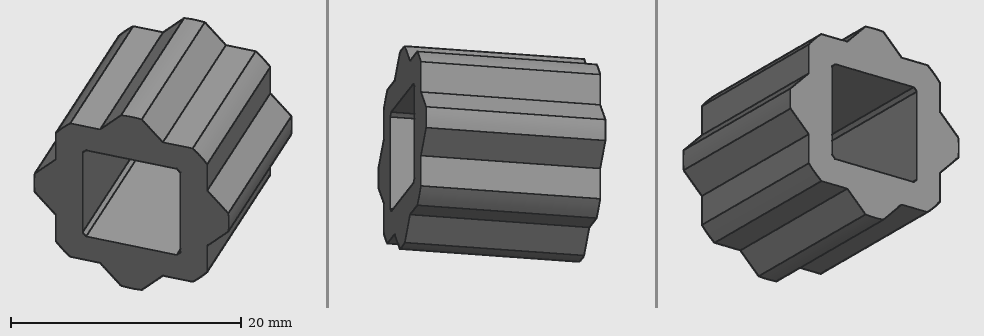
import cadquery as cq

outer_diameter = 17.99
length = 16.0
square_side = 14.0
bore_side = 9.03
bore_corner_diameter = 12.3


def square_bar(side, angle=0):
    """Square bar centred on the Y axis, turned about it by angle degrees."""
    bar = cq.Workplane("XZ").rect(side, side).extrude(length / 2, both=True)
    return bar.rotate((0, 0, 0), (0, 1, 0), angle)


def round_bar(diameter):
    """Round bar centred on the Y axis."""
    return cq.Workplane("XZ").circle(diameter / 2).extrude(length / 2, both=True)


star = square_bar(square_side).union(square_bar(square_side, 45))
body = star.intersect(round_bar(outer_diameter))

bore = square_bar(bore_side).intersect(round_bar(bore_corner_diameter))

result = body.cut(bore)